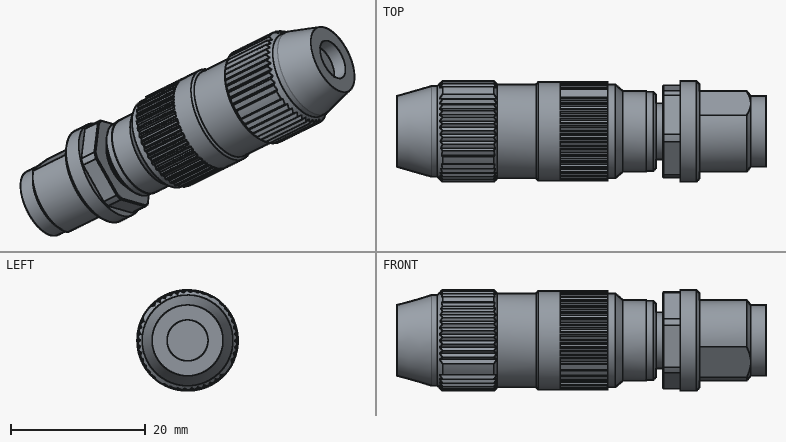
import cadquery as cq
import math


length = 54.8
nose_end = 5.15
grip_start = 6.05
grip_end = 14.9
sleeve_end = 20.65
ring_end = 24.3
ring_grip_end = 31.3
shoulder_start = 32.4
shoulder_end = 33.55
spigot_step = 37.0
spigot_end = 38.45
hex_start = 39.45
flange_start = 42.05
flange_end = 44.95
barrel_end = 52.5

nose_tip_dia = 10.5
nose_dia = 13.5
grip_dia = 15.0
sleeve_dia = 14.0
ring_dia = 14.7
ring_root_dia = 14.2
barrel_dia = 12.0
spigot_tip_dia = 11.8
neck_dia = 8.4
flange_dia = 15.0
tail_dia = 10.5
cable_hole_dia = 6.1
cable_hole_depth = 2.1

ring_chamfer_length = 0.35
spigot_chamfer = 0.45
flange_chamfer = 0.52
barrel_chamfer_length = 0.6
grip_front_chamfer = (grip_dia - nose_dia) / 2
grip_rear_chamfer = (grip_dia - sleeve_dia) / 2

grip_axis = 55.0
first_tooth = 5.0
last_tooth = 82.5
steps_per_quadrant = 10
tooth_slope = 40.0

groove_count = 40
groove_depth = (ring_dia - ring_root_dia) / 2
groove_top_width = 0.9
groove_root_width = 0.4
lower_land_angle = -42.0
lower_land_places = (groove_count - 1, 0, 1)
upper_land_places = (groove_count // 2, groove_count // 2 + 1)
plain_places = lower_land_places + upper_land_places
upper_land_depth = 0.35
upper_land_width = 2.3

hex_flats = 13.0
hex_corner_dia = 14.4
hex_chamfer = 0.15
hex_corner_angle = 22.2
wrench_flats = 10.5
wrench_angle = hex_corner_angle - 60


def polar(radius, degrees):
    """Point in the YZ plane at the given radius and direction."""
    angle = math.radians(degrees)
    return (-radius * math.cos(angle), radius * math.sin(angle))


def revolve_outline(points):
    """Solid of revolution about X from (x, diameter) points, closed along the axis."""
    outline = [(x, dia / 2) for x, dia in points]
    outline = [(points[0][0], 0)] + outline + [(points[-1][0], 0)]
    return cq.Workplane("XY").polyline(outline).close().revolve(360, (0, 0, 0), (1, 0, 0))


def disc(start, end, dia):
    return cq.Workplane("YZ", origin=(start, 0, 0)).circle(dia / 2).extrude(end - start)


def make_body():
    return revolve_outline([
        (0, nose_tip_dia),
        (nose_end, nose_dia),
        (grip_start, nose_dia),
        (grip_end, nose_dia),
        (grip_end, sleeve_dia),
        (sleeve_end, sleeve_dia),
        (sleeve_end + ring_chamfer_length, ring_dia),
        (ring_grip_end, ring_dia),
        (ring_grip_end, sleeve_dia),
        (shoulder_start, sleeve_dia),
        (shoulder_end, barrel_dia),
        (spigot_step, barrel_dia),
        (spigot_step, spigot_tip_dia),
        (spigot_end - spigot_chamfer, spigot_tip_dia),
        (spigot_end, spigot_tip_dia - 2 * spigot_chamfer),
        (spigot_end, neck_dia),
        (flange_start, neck_dia),
        (flange_start, flange_dia),
        (flange_end - flange_chamfer, flange_dia),
        (flange_end, flange_dia - 2 * flange_chamfer),
        (flange_end, barrel_dia),
        (barrel_end - barrel_chamfer_length, barrel_dia),
        (barrel_end, tail_dia),
        (length, tail_dia),
    ])


def meet(point, normal, other_point, other_normal):
    """Crossing of two lines, each given by a point and the direction of its normal in radians."""
    a, b = math.cos(normal), math.sin(normal)
    c, d = math.cos(other_normal), math.sin(other_normal)
    offset = a * point[0] + b * point[1]
    other_offset = c * other_point[0] + d * other_point[1]
    det = a * d - b * c
    return ((offset * d - other_offset * b) / det, (a * other_offset - c * offset) / det)


def tooth_corners():
    """(along, across) corners of one quadrant of the coarse grip, from the grip axis outwards."""
    step = (last_tooth - first_tooth) / steps_per_quadrant
    tips = []
    for i in range(steps_per_quadrant + 1):
        angle = math.radians(first_tooth + i * step)
        tips.append((grip_dia / 2 * math.cos(angle), grip_dia / 2 * math.sin(angle)))
    corners = [tips[0]]
    for i in range(steps_per_quadrant):
        middle = first_tooth + (i + 0.5) * step
        outward = math.radians(middle + tooth_slope)
        inward = math.radians(max(0, middle - tooth_slope))
        corners.append(meet(tips[i], outward, tips[i + 1], inward))
        corners.append(tips[i + 1])
    return corners


def make_grip():
    radius = grip_dia / 2
    quadrant = tooth_corners()
    mirrored = [(-along, across) for along, across in reversed(quadrant)]
    upper = quadrant + mirrored
    lower = [(-along, -across) for along, across in upper]
    teeth = (
        cq.Workplane("YZ", origin=(grip_start, 0, 0))
        .moveTo(*quadrant[0])
        .polyline(quadrant[1:], includeCurrent=True)
        .threePointArc((0, radius), mirrored[0])
        .polyline(mirrored[1:], includeCurrent=True)
        .threePointArc((-radius, 0), lower[0])
        .polyline(lower[1:len(quadrant)], includeCurrent=True)
        .threePointArc((0, -radius), lower[len(quadrant)])
        .polyline(lower[len(quadrant) + 1:], includeCurrent=True)
        .threePointArc((radius, 0), quadrant[0])
        .close()
        .extrude(grip_end - grip_start)
        .rotate((0, 0, 0), (1, 0, 0), 180 - grip_axis)
    )
    envelope = revolve_outline([
        (grip_start, nose_dia),
        (grip_start + grip_front_chamfer, grip_dia),
        (grip_end - grip_rear_chamfer, grip_dia),
        (grip_end, sleeve_dia),
    ])
    return teeth.intersect(envelope)


def ring_groove(angle, depth, top_width, root_width):
    outer = ring_dia / 2
    section = [
        (outer - depth, -root_width / 2),
        (outer - depth, root_width / 2),
        (outer, top_width / 2),
        (outer + depth, top_width / 2),
        (outer + depth, -top_width / 2),
        (outer, -top_width / 2),
    ]
    return (
        cq.Workplane("YZ", origin=(ring_end, 0, 0))
        .polyline(section)
        .close()
        .extrude(ring_grip_end - ring_end)
        .rotate((0, 0, 0), (1, 0, 0), 180 - angle)
        .val()
    )


def make_ring_grooves():
    pitch = 360 / groove_count
    grooves = []
    for i in range(groove_count):
        if i not in plain_places:
            angle = lower_land_angle + i * pitch
            grooves.append(ring_groove(angle, groove_depth, groove_top_width, groove_root_width))
    facet_width = ring_root_dia * math.tan(math.radians(pitch / 2))
    for i in lower_land_places:
        grooves.append(ring_groove(lower_land_angle + i * pitch, groove_depth, facet_width, facet_width))
    upper_angle = lower_land_angle + pitch * sum(upper_land_places) / len(upper_land_places)
    grooves.append(ring_groove(upper_angle, upper_land_depth, upper_land_width, upper_land_width))
    return cq.Workplane(cq.Compound.makeCompound(grooves))


def make_hex():
    corner = hex_flats / math.sqrt(3)
    points = [polar(corner, hex_corner_angle + 60 * i) for i in range(6)]
    prism = (
        cq.Workplane("YZ", origin=(hex_start, 0, 0))
        .polyline(points)
        .close()
        .extrude(flange_start - hex_start)
    )
    rounded = prism.intersect(disc(hex_start, flange_start, hex_corner_dia))
    return rounded.faces("<X").chamfer(hex_chamfer)


def cut_wrench_flats(body):
    slab = (
        cq.Workplane("YZ", origin=(flange_end, 0, 0))
        .rect(wrench_flats, 2 * barrel_dia)
        .extrude(barrel_end - flange_end)
        .rotate((0, 0, 0), (1, 0, 0), -wrench_angle)
    )
    waste = disc(flange_end, barrel_end, 2 * barrel_dia).cut(slab)
    return body.cut(waste)


result = make_body().union(make_grip()).union(make_hex())
result = cut_wrench_flats(result)
result = result.cut(make_ring_grooves())
result = result.cut(disc(0, cable_hole_depth, cable_hole_dia))